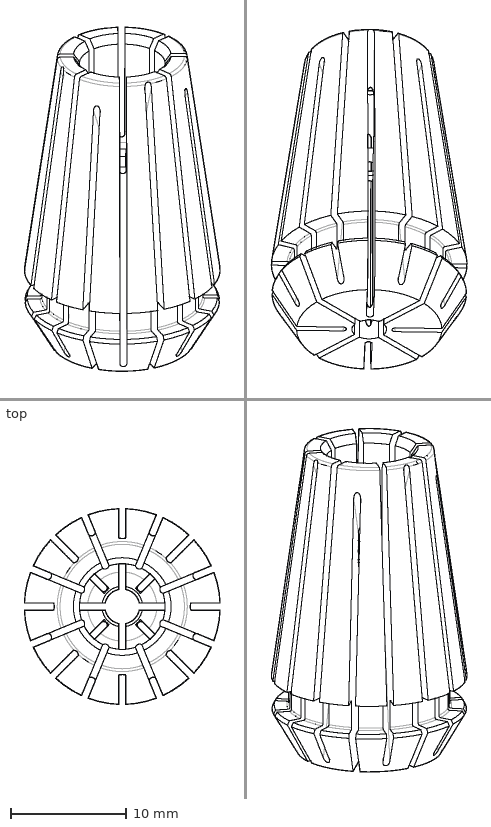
import cadquery as cq
import math

height = 27.5
taper_radius = 8.5
taper_base_z = 6.7
taper_angle = 7.9
top_edge_fillet = 0.25

neck_radius = 6.98
neck_fillet = 0.16

nose_top_z = 4.07
nose_rim_z = 3.7
nose_rim_radius = 8.45
nose_angle = 30.0
nose_rim_chamfer = 0.2

grip_diameter = 3.0
grip_radius = grip_diameter / 2
grip_lead_radius = 1.75
clearance_radius = 3.7
clearance_floor_z = 17.55
clearance_fillet = 0.72
mouth_radius = 4.24
mouth_angle = 34.0
grip_lead_angle = 23.0

slot_width = 0.6
quadrants = 4
quadrant_angle = 360 / quadrants
axis_slot_end = (clearance_radius, 21.53)
axis_slot_tilt = 30.0
diagonal_slot_end = (clearance_radius, 22.63)
diagonal_slot_tilt = 21.0
diagonal_slot_start = (grip_radius, 1.32)
bridge_tilt = 20.0
bridge_end = (grip_radius, 16.35)
top_slot_end = (6.68, 0.6)
top_slot_tilt = -10.3
cutter_reach = 2 * height


def rise(run, angle):
    """Height gained over a radial run along a line tilted by angle from the Z axis."""
    return run / math.tan(math.radians(angle))


def outer_body():
    top_radius = taper_radius - (height - taper_base_z) * math.tan(math.radians(taper_angle))
    nose_radius = nose_rim_radius - nose_rim_z * math.tan(math.radians(nose_angle))
    profile = (
        cq.Workplane("XZ")
        .polyline([
            (0, 0),
            (nose_radius, 0),
            (nose_rim_radius, nose_rim_z),
            (nose_rim_radius - nose_rim_chamfer, nose_top_z),
            (neck_radius, nose_top_z),
            (neck_radius, taper_base_z),
            (taper_radius, taper_base_z),
            (top_radius, height),
            (0, height),
        ])
        .close()
    )
    body = profile.revolve(360, (0, 0, 0), (0, 1, 0))
    body = body.faces(">Z").edges().fillet(top_edge_fillet)
    neck_box_half = (neck_radius + taper_radius) / 2
    neck_box_margin = nose_top_z - nose_rim_z
    neck_edges = cq.selectors.BoxSelector(
        (-neck_box_half, -neck_box_half, nose_top_z - neck_box_margin),
        (neck_box_half, neck_box_half, taper_base_z + neck_box_margin),
        boundingbox=True,
    )
    return body.edges(neck_edges).edges("%CIRCLE").fillet(neck_fillet)


def bore():
    fillet_mid = clearance_fillet * math.sqrt(0.5)
    fillet_center = (clearance_radius - clearance_fillet, clearance_floor_z + clearance_fillet)
    profile = (
        cq.Workplane("XZ")
        .lineTo(grip_radius, 0)
        .lineTo(grip_radius, clearance_floor_z - rise(grip_lead_radius - grip_radius, grip_lead_angle))
        .lineTo(grip_lead_radius, clearance_floor_z)
        .lineTo(fillet_center[0], clearance_floor_z)
        .threePointArc(
            (fillet_center[0] + fillet_mid, fillet_center[1] - fillet_mid),
            (clearance_radius, fillet_center[1]),
        )
        .lineTo(clearance_radius, height - rise(mouth_radius - clearance_radius, mouth_angle))
        .lineTo(mouth_radius, height)
        .lineTo(0, height)
        .close()
    )
    return profile.revolve(360, (0, 0, 0), (0, 1, 0))


def slot_cutter(end_point, tilt, round_end=True):
    """Long slot on +X whose end line runs through end_point (radius, z), leaning outward by tilt."""
    sine = math.sin(math.radians(tilt))
    cosine = math.cos(math.radians(tilt))
    plane = cq.Plane(
        origin=(end_point[0], 0, end_point[1]),
        xDir=(cosine, 0, -sine),
        normal=(sine, 0, cosine),
    )
    half_width = slot_width / 2
    tangent_x = half_width if round_end else 0
    outline = (
        cq.Workplane(plane)
        .moveTo(tangent_x, -half_width)
        .lineTo(cutter_reach, -half_width)
        .lineTo(cutter_reach, half_width)
        .lineTo(tangent_x, half_width)
    )
    if round_end:
        outline = outline.threePointArc((0, 0), (tangent_x, -half_width))
    return outline.close().extrude(cutter_reach, both=True)


def diagonal_slot_cutter():
    """Slot that leaves a small bridge at each end of the grip bore; the upper bridge is flat-faced."""
    below_floor = (
        cq.Workplane("XY", origin=(0, 0, clearance_floor_z))
        .rect(cutter_reach, cutter_reach)
        .extrude(-cutter_reach)
    )
    under_bridge = slot_cutter(bridge_end, bridge_tilt, round_end=False).intersect(below_floor)
    upper_part = slot_cutter(diagonal_slot_end, diagonal_slot_tilt).cut(below_floor)
    above_lower_bridge = slot_cutter(diagonal_slot_start, -bridge_tilt)
    return under_bridge.union(upper_part).intersect(above_lower_bridge)


def cut_around(body, cutter, angles):
    for angle in angles:
        body = body.cut(cutter.rotate((0, 0, 0), (0, 0, 1), angle))
    return body


axis_slot = slot_cutter(axis_slot_end, axis_slot_tilt)
top_slot = slot_cutter(top_slot_end, top_slot_tilt)
diagonal_slot = diagonal_slot_cutter()

axis_angles = [quadrant_angle * i for i in range(quadrants)]
diagonal_angles = [angle + quadrant_angle / 2 for angle in axis_angles]
top_angles = [angle + quadrant_angle / 4 for angle in axis_angles + diagonal_angles]

result = outer_body().cut(bore())
result = cut_around(result, axis_slot, axis_angles)
result = cut_around(result, diagonal_slot, diagonal_angles)
result = cut_around(result, top_slot, top_angles)